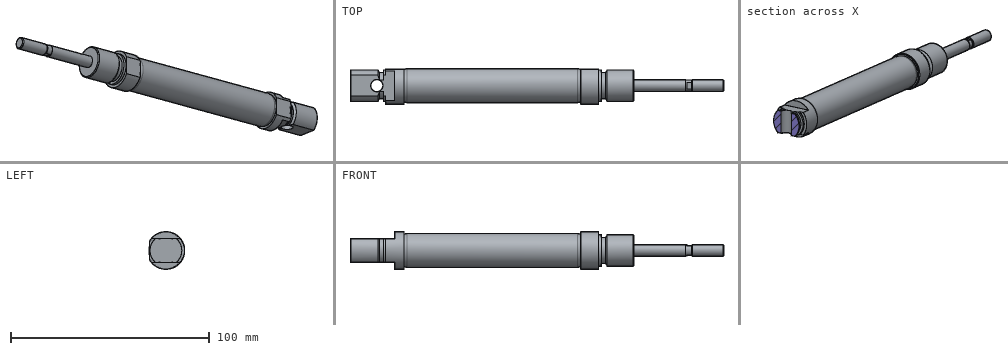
import cadquery as cq

tab_groove_start = 13.7
tab_groove_end = 16.5
rear_collar_start = 17.6
flats_end = 22.1
barrel_start = 27.0
barrel_end = 115.7
front_collar_end = 124.9
nose_groove_start = 126.3
nose_groove_end = 129.25
nose_end = 142.7
rod_neck_start = 168.8
rod_flats_start = 169.4
rod_neck_end = 171.8
rod_end = 188.0

spigot_radius = 8.0
groove_radius = 6.65
groove_slope_length = 0.8
nose_end_chamfer = 0.5

tab_thickness = 12.0
pivot_hole_diameter = 6.0
pivot_hole_x = 13.2

collar_radius = 9.5
collar_flat_y = 8.35
collar_chamfer = 0.4

barrel_radius = 8.64
barrel_taper_length = 1.4
barrel_taper_depth = 0.35

rod_radius = 3.0
rod_neck_radius = 2.9
rod_flats_width = 4.8
rod_tip_chamfer = 0.5


def cylinder(start, end, radius):
    """Solid cylinder on the X axis between two stations."""
    return cq.Workplane("YZ", origin=(start, 0, 0)).circle(radius).extrude(end - start)


def cone(start, end, start_radius, end_radius):
    """Solid truncated cone on the X axis between two stations."""
    axis = cq.Vector(1, 0, 0)
    solid = cq.Solid.makeCone(start_radius, end_radius, end - start, cq.Vector(start, 0, 0), axis)
    return cq.Workplane(solid)


def cut_collar_flat(body, start, end):
    """Trim the +Y side of a collar to a flat."""
    depth = collar_radius - collar_flat_y
    trim = cq.Workplane("XY").box(
        end - start, depth, 2 * collar_radius, centered=(False, False, True)
    )
    return body.cut(trim.translate((start, collar_flat_y, 0)))


def cut_opposed_flats(body, start, end, width, outer_radius):
    """Cut two flats facing +Z and -Z, a given width apart, into a round body."""
    depth = outer_radius - width / 2
    for side in (1, -1):
        trim = cq.Workplane("XY").box(end - start, 2 * outer_radius, depth, centered=(False, True, True))
        body = body.cut(trim.translate((start, 0, side * (width + depth) / 2)))
    return body


def make_rear_cap():
    """Grooved clevis tab with two flats and a pivot hole, backed by the collar."""
    slope_end = tab_groove_start + groove_slope_length
    cap = cylinder(0, tab_groove_start, spigot_radius)
    cap = cap.union(cone(tab_groove_start, slope_end, spigot_radius, groove_radius))
    cap = cap.union(cylinder(slope_end, tab_groove_end, groove_radius))
    cap = cap.union(cylinder(tab_groove_end, rear_collar_start, spigot_radius))
    cap = cap.union(cylinder(rear_collar_start, barrel_start, collar_radius))
    cap = cut_collar_flat(cap, rear_collar_start, barrel_start)

    cap = cut_opposed_flats(cap, 0, flats_end, tab_thickness, collar_radius)
    pivot_hole = (
        cq.Workplane("XY")
        .center(pivot_hole_x, 0)
        .circle(pivot_hole_diameter / 2)
        .extrude(tab_thickness, both=True)
    )
    return cap.cut(pivot_hole)


def make_barrel():
    """Plain barrel with a slight taper at both ends."""
    rear_taper_end = barrel_start + barrel_taper_length
    front_taper_start = barrel_end - barrel_taper_length
    rim_radius = barrel_radius - barrel_taper_depth
    rear_taper = cone(barrel_start, rear_taper_end, rim_radius, barrel_radius)
    middle = cylinder(rear_taper_end, front_taper_start, barrel_radius)
    front_taper = cone(front_taper_start, barrel_end, barrel_radius, rim_radius)
    return rear_taper.union(middle).union(front_taper)


def make_front_cap():
    """Collar followed by a nose with a relief groove."""
    collar = cylinder(barrel_end, front_collar_end, collar_radius).faces("<X").chamfer(collar_chamfer)
    cap = cut_collar_flat(collar, barrel_end, front_collar_end)
    slope_start = nose_groove_end - groove_slope_length
    cap = cap.union(cylinder(front_collar_end, nose_groove_start, spigot_radius))
    cap = cap.union(cylinder(nose_groove_start, slope_start, groove_radius))
    cap = cap.union(cone(slope_start, nose_groove_end, groove_radius, spigot_radius))
    nose = cylinder(nose_groove_end, nose_end, spigot_radius).faces(">X").chamfer(nose_end_chamfer)
    return cap.union(nose)


def make_rod():
    """Rod with a neck carrying two flats, ahead of its chamfered end section."""
    shank = cylinder(nose_end, rod_neck_start, rod_radius)
    neck = cylinder(rod_neck_start, rod_neck_end, rod_neck_radius)
    neck = cut_opposed_flats(neck, rod_flats_start, rod_neck_end, rod_flats_width, rod_radius)
    tip = cylinder(rod_neck_end, rod_end, rod_radius).faces("<X or >X").chamfer(rod_tip_chamfer)
    return shank.union(neck).union(tip)


rear_cap = make_rear_cap()
barrel = make_barrel()
front_cap = make_front_cap()
rod = make_rod()

result = cq.Compound.makeCompound([rear_cap.val(), barrel.val(), front_cap.val(), rod.val()])